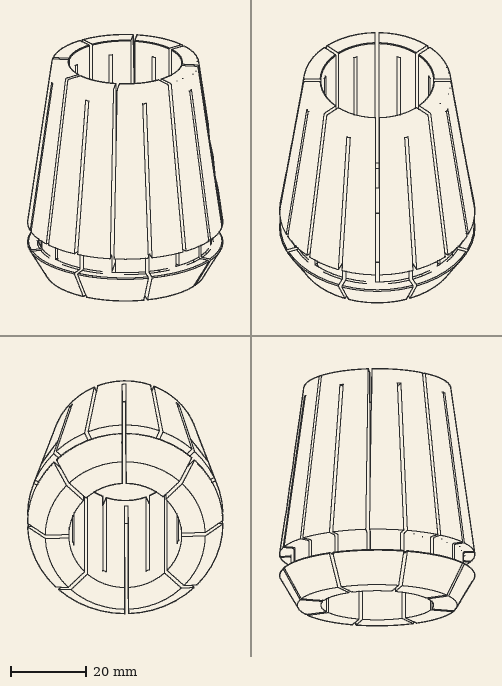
import cadquery as cq
import math

TOTAL_HEIGHT = 60.0
MAX_RADIUS = 26.0
BORE_RADIUS = 15.0
BORE_CHAMFER = 0.2

NOSE_HALF_ANGLE = 30.0
NOSE_HEIGHT = 8.2
FLANGE_TOP = 8.5
RIM_CHAMFER = FLANGE_TOP - NOSE_HEIGHT

GROOVE_RADIUS = 23.0
GROOVE_TOP = 14.0
GROOVE_FILLET = 0.4

TAPER_HALF_ANGLE = 8.0
TOP_FILLET = 0.5

SLOT_COUNT = 8
SLOT_WIDTH = 1.0
LOWER_SLOT_END = 56.0
UPPER_SLOT_START = FLANGE_TOP + GROOVE_FILLET

SLOT_PITCH = 360.0 / SLOT_COUNT
NOSE_RADIUS = MAX_RADIUS - NOSE_HEIGHT * math.tan(math.radians(NOSE_HALF_ANGLE))


def taper_radius(z):
    """Radius of the long taper at height z."""
    return MAX_RADIUS - (z - GROOVE_TOP) * math.tan(math.radians(TAPER_HALF_ANGLE))


def make_body():
    """Revolve the sleeve's half section around the Z axis and round its top outer edge."""
    fillet_edge_radius = GROOVE_RADIUS + GROOVE_FILLET
    fillet_arc_inset = GROOVE_FILLET * (1 - math.sqrt(0.5))
    section = (
        cq.Workplane("XZ")
        .moveTo(BORE_RADIUS, 0)
        .lineTo(NOSE_RADIUS, 0)
        .lineTo(MAX_RADIUS, NOSE_HEIGHT)
        .lineTo(MAX_RADIUS - RIM_CHAMFER, FLANGE_TOP)
        .lineTo(fillet_edge_radius, FLANGE_TOP)
        .threePointArc(
            (GROOVE_RADIUS + fillet_arc_inset, FLANGE_TOP + fillet_arc_inset),
            (GROOVE_RADIUS, FLANGE_TOP + GROOVE_FILLET),
        )
        .lineTo(GROOVE_RADIUS, GROOVE_TOP - GROOVE_FILLET)
        .threePointArc(
            (GROOVE_RADIUS + fillet_arc_inset, GROOVE_TOP - fillet_arc_inset),
            (fillet_edge_radius, GROOVE_TOP),
        )
        .lineTo(MAX_RADIUS, GROOVE_TOP)
        .lineTo(taper_radius(TOTAL_HEIGHT), TOTAL_HEIGHT)
        .lineTo(BORE_RADIUS + BORE_CHAMFER, TOTAL_HEIGHT)
        .lineTo(BORE_RADIUS, TOTAL_HEIGHT - BORE_CHAMFER)
        .close()
    )
    body = section.revolve(360, (0, 0, 0), (0, 1, 0))
    return body.faces(">Z").edges(cq.selectors.RadiusNthSelector(-1)).fillet(TOP_FILLET)


def cut_slots(body, first_angle, z_start, z_end):
    """Cut a ring of radial slots through the wall between two heights."""
    for index in range(SLOT_COUNT):
        slot = (
            cq.Workplane("XY")
            .box(MAX_RADIUS, SLOT_WIDTH, z_end - z_start, centered=(False, True, False))
            .translate((0, 0, z_start))
            .rotate((0, 0, 0), (0, 0, 1), first_angle + index * SLOT_PITCH)
        )
        body = body.cut(slot)
    return body


sleeve = make_body()
sleeve = cut_slots(sleeve, 0, 0, LOWER_SLOT_END)
sleeve = cut_slots(sleeve, SLOT_PITCH / 2, UPPER_SLOT_START, TOTAL_HEIGHT)
result = sleeve